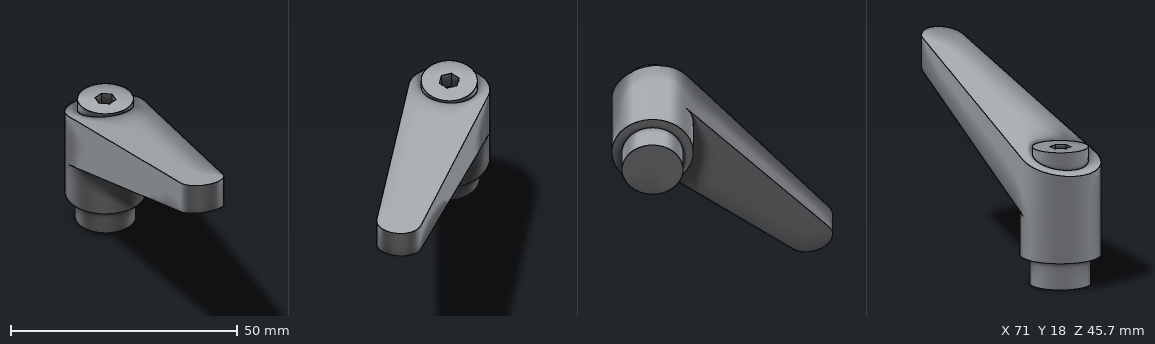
import cadquery as cq
import math

hub_radius = 9.0
tip_radius = 5.0
lever_length = 71.0
tip_center_x = lever_length - hub_radius - tip_radius
tip_x = tip_center_x + tip_radius

hub_bottom_z = 6.5
button_top_z = 31.0
tip_top_z = 45.66
hub_top_low_z = 26.17
arm_underside_axis_z = 15.9

top_slope = (tip_top_z - hub_top_low_z) / lever_length
underside_slope = math.tan(math.radians(20.0))

insert_diameter = 13.5
button_diameter = 12.4
socket_across_flats = 4.0
socket_depth = 4.0
socket_cone_angle = 120.0


def top_z(x):
    return hub_top_low_z + top_slope * (x + hub_radius)


def underside_z(x):
    return arm_underside_axis_z + underside_slope * x


def make_slope_band(lower_left_z, lower_right_z):
    """Body below the sloping top plane and above the given lower line, wider than the lever."""
    return (
        cq.Workplane("XZ")
        .moveTo(-hub_radius, lower_left_z)
        .lineTo(tip_x, lower_right_z)
        .lineTo(tip_x, top_z(tip_x))
        .lineTo(-hub_radius, top_z(-hub_radius))
        .close()
        .extrude(2 * hub_radius, both=True)
    )


def make_hub():
    column = (
        cq.Workplane("XY")
        .workplane(offset=hub_bottom_z)
        .circle(hub_radius)
        .extrude(tip_top_z - hub_bottom_z)
    )
    return column.intersect(make_slope_band(hub_bottom_z, hub_bottom_z))


def make_arm():
    tangent_sin = (hub_radius - tip_radius) / tip_center_x
    tangent_cos = math.sqrt(1 - tangent_sin**2)
    hub_tangent_x = hub_radius * tangent_sin
    hub_tangent_y = hub_radius * tangent_cos
    tip_tangent_x = tip_center_x + tip_radius * tangent_sin
    tip_tangent_y = tip_radius * tangent_cos
    plan = (
        cq.Workplane("XY")
        .moveTo(hub_tangent_x, -hub_tangent_y)
        .lineTo(tip_tangent_x, -tip_tangent_y)
        .threePointArc((tip_x, 0), (tip_tangent_x, tip_tangent_y))
        .lineTo(hub_tangent_x, hub_tangent_y)
        .threePointArc((-hub_radius, 0), (hub_tangent_x, -hub_tangent_y))
        .close()
        .extrude(tip_top_z)
    )
    return plan.intersect(make_slope_band(underside_z(-hub_radius), underside_z(tip_x)))


def make_insert():
    return cq.Workplane("XY").circle(insert_diameter / 2).extrude(hub_bottom_z)


def make_button():
    return (
        cq.Workplane("XY")
        .workplane(offset=hub_bottom_z)
        .circle(button_diameter / 2)
        .extrude(button_top_z - hub_bottom_z)
    )


def make_socket():
    """Hexagonal key socket with corners on the X axis and a conical floor."""
    corner_radius = socket_across_flats / math.sqrt(3)
    cone_height = corner_radius / math.tan(math.radians(socket_cone_angle / 2))
    hexagon = (
        cq.Workplane("XY")
        .workplane(offset=button_top_z)
        .polygon(6, 2 * corner_radius)
        .extrude(-(socket_depth + cone_height))
    )
    pointed_drill = (
        cq.Workplane("XZ")
        .moveTo(0, button_top_z)
        .lineTo(corner_radius, button_top_z)
        .lineTo(corner_radius, button_top_z - socket_depth)
        .lineTo(0, button_top_z - socket_depth - cone_height)
        .close()
        .revolve(360, (0, 0), (0, 1))
    )
    return hexagon.intersect(pointed_drill)


lever = make_hub().union(make_arm())
body = lever.union(make_insert()).union(make_button())
result = body.cut(make_socket())